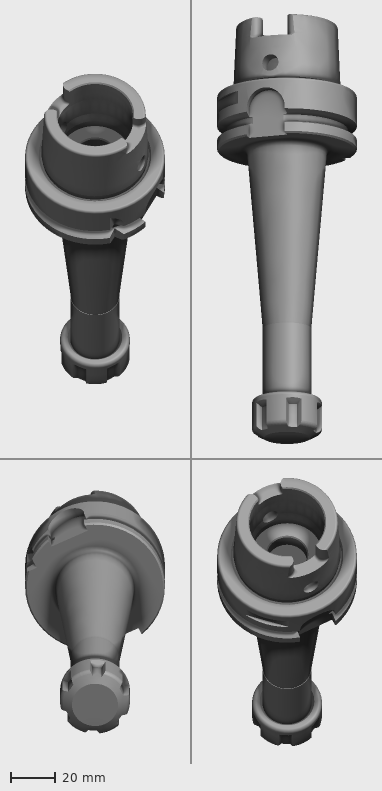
import cadquery as cq
import math

TOTAL_HEIGHT = 192.0

TAPER_LENGTH = 32.0
TAPER_TOP_RADIUS = 22.8
TAPER_BASE_RADIUS = 24.2
TAPER_EDGE_FILLET = 1.2
RELIEF_HEIGHT = 2.3
RELIEF_RADIUS = 23.8
RELIEF_OUTER_RADIUS = 25.3
RELIEF_DEPTH = 0.8

FLANGE_RADIUS = 31.5
FLANGE_HEIGHT = 26.0
FLANGE_CHAMFER = 0.8
FLANGE_TOP_FILLET = 1.2
LOWER_RIM_HEIGHT = 5.0
GROOVE_RADIUS = 27.5
GROOVE_FLOOR_WIDTH = 2.9
GROOVE_FLANK_HEIGHT = 1.7

NECK_TOP_RADIUS = 17.9
NECK_FILLET = 2.3
SHANK_TOP = 50.9
SHANK_RADIUS = 11.1
NECK_BOTTOM_RADIUS = 11.0

NUT_RADIUS = 15.7
NUT_HEIGHT = 17.9
NUT_TOP_FILLET = 1.7
NUT_RECESS_RADIUS = 12.3
NUT_RECESS_DEPTH = 1.2
NUT_CONE_HEIGHT = 2.9
NUT_END_RADIUS = 10.4
NUT_CONE_FILLET = 2.3
NUT_SLOT_COUNT = 6
NUT_SLOT_START_ANGLE = 90.0
NUT_SLOT_FLOOR_RADIUS = 13.2
NUT_SLOT_FLOOR_WIDTH = 4.0
NUT_SLOT_MOUTH_WIDTH = 7.5
NUT_SLOT_TOP = 14.8
NUT_SLOT_TOP_SLOPE = 2.5

MOUTH_RADIUS = 17.0
MOUTH_CHAMFER = 0.5
MOUTH_DEPTH = 12.3
SHOULDER_RADIUS = 16.7
SHOULDER_TOP_DEPTH = 23.0
SHOULDER_BOTTOM_DEPTH = 27.8
CHAMBER_RADIUS = 16.0
CHAMBER_DEPTH = 31.7
PILOT_RADIUS = 9.0
PILOT_DEPTH = 7.7
PILOT_CHAMFER = 0.5

NOTCH_WIDTH = 12.3
NOTCH_EDGE_RADIUS = 3.6
NOTCH_FLOOR_FILLET = 1.2
NOTCH_FACE_X = 20.7
DEEP_NOTCH_DEPTH = 10.0
SHALLOW_NOTCH_DEPTH = 5.5
CROSS_HOLE_RADIUS = 3.8
CROSS_HOLE_Z = 169.2

SLOT_WIDTH = 18.0
SLOT_TOP = 155.5
DRIVE_SLOT_FLOOR = 26.5
SIDE_SLOT_FLOOR = 20.0
SIDE_SLOT_WALL_Y = -19.5

FLAT_ANGLE = 135.0
FLAT_DISTANCE = 29.8
FLAT_HEIGHT = 5.8
FLAT_CENTER_Z = 153.0

FLANGE_TOP = TOTAL_HEIGHT - TAPER_LENGTH
FLANGE_BOTTOM = FLANGE_TOP - FLANGE_HEIGHT
SLOT_CUT_LENGTH = 2 * FLANGE_RADIUS


def turned_body():
    """Outer shape: taper, flange, neck, shank and nut as one revolved outline."""
    groove_edge_low = FLANGE_BOTTOM + LOWER_RIM_HEIGHT
    groove_low = groove_edge_low + GROOVE_FLANK_HEIGHT
    groove_high = groove_low + GROOVE_FLOOR_WIDTH
    groove_edge_high = groove_high + GROOVE_FLANK_HEIGHT
    taper_base = FLANGE_TOP + RELIEF_HEIGHT
    relief_step = TAPER_BASE_RADIUS - RELIEF_RADIUS
    fillet_offset = NECK_FILLET * (1 - math.sqrt(0.5))
    outline = (
        cq.Workplane("XZ")
        .moveTo(0, 0)
        .lineTo(NUT_END_RADIUS, 0)
        .lineTo(NUT_RADIUS, NUT_CONE_HEIGHT)
        .lineTo(NUT_RADIUS, NUT_HEIGHT)
        .lineTo(NUT_RECESS_RADIUS, NUT_HEIGHT)
        .lineTo(SHANK_RADIUS, NUT_HEIGHT - NUT_RECESS_DEPTH)
        .lineTo(SHANK_RADIUS, SHANK_TOP)
        .lineTo(NECK_BOTTOM_RADIUS, SHANK_TOP)
        .lineTo(NECK_TOP_RADIUS, FLANGE_BOTTOM - NECK_FILLET)
        .threePointArc(
            (NECK_TOP_RADIUS + fillet_offset, FLANGE_BOTTOM - fillet_offset),
            (NECK_TOP_RADIUS + NECK_FILLET, FLANGE_BOTTOM),
        )
        .lineTo(FLANGE_RADIUS - FLANGE_CHAMFER, FLANGE_BOTTOM)
        .lineTo(FLANGE_RADIUS, FLANGE_BOTTOM + FLANGE_CHAMFER)
        .lineTo(FLANGE_RADIUS, groove_edge_low)
        .lineTo(GROOVE_RADIUS, groove_low)
        .lineTo(GROOVE_RADIUS, groove_high)
        .lineTo(FLANGE_RADIUS, groove_edge_high)
        .lineTo(FLANGE_RADIUS, FLANGE_TOP)
        .lineTo(RELIEF_OUTER_RADIUS, FLANGE_TOP)
        .lineTo(RELIEF_OUTER_RADIUS - RELIEF_DEPTH, FLANGE_TOP - RELIEF_DEPTH)
        .lineTo(RELIEF_RADIUS, FLANGE_TOP - RELIEF_DEPTH)
        .lineTo(RELIEF_RADIUS, taper_base - relief_step)
        .lineTo(TAPER_BASE_RADIUS, taper_base)
        .lineTo(TAPER_TOP_RADIUS, TOTAL_HEIGHT)
        .lineTo(0, TOTAL_HEIGHT)
        .close()
    )
    body = outline.revolve(360, (0, 0, 0), (0, 1, 0))
    body = round_ring_edge(body, TAPER_TOP_RADIUS, TOTAL_HEIGHT, TAPER_EDGE_FILLET)
    body = round_ring_edge(body, FLANGE_RADIUS, FLANGE_TOP, FLANGE_TOP_FILLET)
    body = round_ring_edge(body, NUT_RADIUS, NUT_HEIGHT, NUT_TOP_FILLET)
    return round_ring_edge(body, NUT_RADIUS, NUT_CONE_HEIGHT, NUT_CONE_FILLET)


def round_ring_edge(body, radius, z, fillet):
    """Fillet the circular edge of the given radius at height z."""
    margin = 0.2
    picker = cq.selectors.BoxSelector(
        (-radius - margin, -radius - margin, z - margin),
        (radius + margin, radius + margin, z + margin),
        boundingbox=True,
    )
    rings = body.edges(picker).edges("%CIRCLE").vals()
    edges = [ring for ring in rings if abs(ring.radius() - radius) < margin]
    return body.newObject(edges).fillet(fillet)


def taper_bore():
    """Stepped bore: chamfered mouth, conical shoulder, chamber and a blind pilot hole."""
    chamber_bottom = TOTAL_HEIGHT - CHAMBER_DEPTH
    return (
        cq.Workplane("XZ")
        .moveTo(0, TOTAL_HEIGHT)
        .lineTo(MOUTH_RADIUS + MOUTH_CHAMFER, TOTAL_HEIGHT)
        .lineTo(MOUTH_RADIUS, TOTAL_HEIGHT - MOUTH_CHAMFER)
        .lineTo(MOUTH_RADIUS, TOTAL_HEIGHT - MOUTH_DEPTH)
        .lineTo(SHOULDER_RADIUS, TOTAL_HEIGHT - SHOULDER_TOP_DEPTH)
        .lineTo(CHAMBER_RADIUS, TOTAL_HEIGHT - SHOULDER_BOTTOM_DEPTH)
        .lineTo(CHAMBER_RADIUS, chamber_bottom)
        .lineTo(PILOT_RADIUS + PILOT_CHAMFER, chamber_bottom)
        .lineTo(PILOT_RADIUS, chamber_bottom - PILOT_CHAMFER)
        .lineTo(PILOT_RADIUS, chamber_bottom - PILOT_DEPTH)
        .lineTo(0, chamber_bottom - PILOT_DEPTH)
        .close()
        .revolve(360, (0, 0, 0), (0, 1, 0))
    )


def drive_notch(direction, depth):
    """Notch through one side of the taper wall, its outer corners rounded off."""
    half = NOTCH_WIDTH / 2
    arc_start = NOTCH_FACE_X - NOTCH_EDGE_RADIUS
    arc_end = half + NOTCH_EDGE_RADIUS
    arc_offset = NOTCH_EDGE_RADIUS * math.sqrt(0.5)
    arc_mid = (arc_start + arc_offset, arc_end - arc_offset)
    far_x = TAPER_BASE_RADIUS + NOTCH_EDGE_RADIUS
    notch = (
        cq.Workplane("XY")
        .workplane(offset=TOTAL_HEIGHT - depth)
        .moveTo(0, -half)
        .lineTo(arc_start, -half)
        .threePointArc((arc_mid[0], -arc_mid[1]), (NOTCH_FACE_X, -arc_end))
        .lineTo(NOTCH_FACE_X, -FLANGE_RADIUS)
        .lineTo(far_x, -FLANGE_RADIUS)
        .lineTo(far_x, FLANGE_RADIUS)
        .lineTo(NOTCH_FACE_X, FLANGE_RADIUS)
        .lineTo(NOTCH_FACE_X, arc_end)
        .threePointArc(arc_mid, (arc_start, half))
        .lineTo(0, half)
        .close()
        .extrude(depth)
        .faces("<Z")
        .edges()
        .fillet(NOTCH_FLOOR_FILLET)
    )
    if direction < 0:
        notch = notch.mirror("YZ")
    return notch


def flange_slot(direction, floor, center_y):
    """Slot along X from the floor outwards, round at the top and open below the flange."""
    radius = SLOT_WIDTH / 2
    slot = (
        cq.Workplane("YZ")
        .workplane(offset=floor)
        .moveTo(center_y - radius, FLANGE_BOTTOM)
        .lineTo(center_y - radius, SLOT_TOP - radius)
        .threePointArc((center_y, SLOT_TOP), (center_y + radius, SLOT_TOP - radius))
        .lineTo(center_y + radius, FLANGE_BOTTOM)
        .close()
        .extrude(SLOT_CUT_LENGTH)
    )
    if direction < 0:
        slot = slot.mirror("YZ")
    return slot


def marking_flat():
    """Shallow flat on the flange rim."""
    return (
        cq.Workplane("XY")
        .box(SLOT_CUT_LENGTH, SLOT_CUT_LENGTH, FLAT_HEIGHT, centered=(False, True, True))
        .translate((FLAT_DISTANCE, 0, FLAT_CENTER_Z))
        .rotate((0, 0, 0), (0, 0, 1), FLAT_ANGLE)
    )


def nut_slot(angle):
    """Wrench slot in the nut rim with sloping side walls and a sloping top end."""
    half_floor = NUT_SLOT_FLOOR_WIDTH / 2
    half_mouth = NUT_SLOT_MOUTH_WIDTH / 2
    floor_top = NUT_SLOT_TOP - NUT_SLOT_TOP_SLOPE
    slot = (
        cq.Workplane("YZ")
        .workplane(offset=NUT_SLOT_FLOOR_RADIUS)
        .center(0, floor_top / 2)
        .rect(2 * half_floor, floor_top)
        .workplane(offset=NUT_RADIUS - NUT_SLOT_FLOOR_RADIUS)
        .center(0, (NUT_SLOT_TOP - floor_top) / 2)
        .rect(2 * half_mouth, NUT_SLOT_TOP)
        .loft(ruled=True)
    )
    return slot.rotate((0, 0, 0), (0, 0, 1), angle)


result = turned_body().cut(taper_bore())

result = result.cut(drive_notch(-1, DEEP_NOTCH_DEPTH))
result = result.cut(drive_notch(1, SHALLOW_NOTCH_DEPTH))

cross_hole = (
    cq.Workplane("YZ")
    .center(0, CROSS_HOLE_Z)
    .circle(CROSS_HOLE_RADIUS)
    .extrude(FLANGE_RADIUS, both=True)
)
result = result.cut(cross_hole)

side_slot_y = SIDE_SLOT_WALL_Y - SLOT_WIDTH / 2
result = result.cut(flange_slot(-1, DRIVE_SLOT_FLOOR, 0))
result = result.cut(flange_slot(1, DRIVE_SLOT_FLOOR, 0))
result = result.cut(flange_slot(1, SIDE_SLOT_FLOOR, side_slot_y))
result = result.cut(marking_flat())

for index in range(NUT_SLOT_COUNT):
    result = result.cut(nut_slot(NUT_SLOT_START_ANGLE + index * 360 / NUT_SLOT_COUNT))